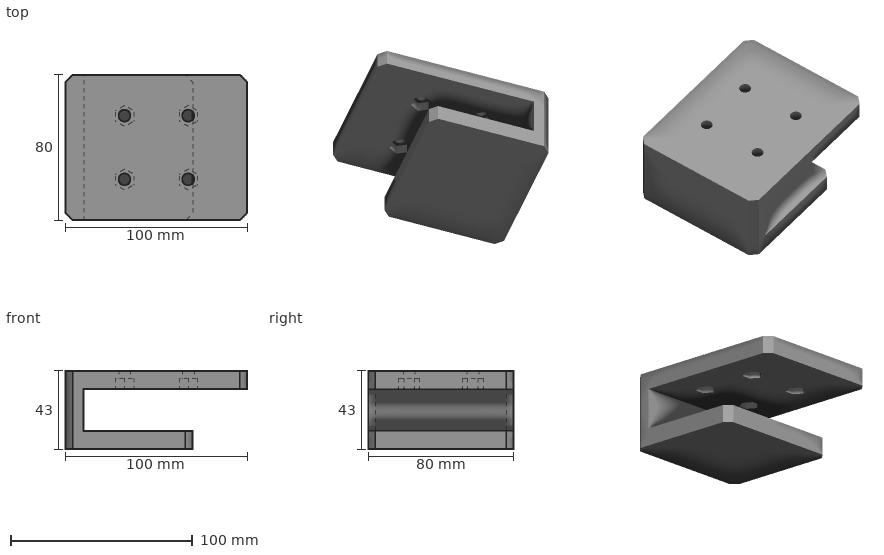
import cadquery as cq
import math

top_length = 100.0
bottom_length = 70.0
width = 80.0
height = 43.0
thickness = 10.0
corner_chamfer = 4.0
hole_diameter = 6.5
hole_spacing = 35.0
nut_across_flats = 10.0
nut_pocket_depth = 6.0

back_x = -top_length / 2
bottom_z = -height / 2
top_plate_z = height / 2 - thickness

hexagon_sides = 6
nut_across_corners = nut_across_flats / math.cos(math.pi / hexagon_sides)
nut_turn = 30.0


def plate(length, base_z):
    """Plate starting at the back face, with all four vertical edges chamfered."""
    return (
        cq.Workplane("XY", origin=(back_x + length / 2, 0, base_z))
        .box(length, width, thickness, centered=(True, True, False))
        .edges("|Z")
        .chamfer(corner_chamfer)
    )


def back_wall():
    """Full-height wall whose outer vertical edges carry the corner chamfers."""
    return (
        cq.Workplane("XY", origin=(back_x + thickness / 2, 0, bottom_z))
        .box(thickness, width, height, centered=(True, True, False))
        .edges("|Z and <X")
        .chamfer(corner_chamfer)
    )


def hole_cutter():
    """Screw hole through the top plate, with a hexagonal nut pocket from its underside."""
    hole = cq.Workplane("XY").circle(hole_diameter / 2).extrude(thickness)
    nut_pocket = (
        cq.Workplane("XY")
        .transformed(rotate=(0, 0, nut_turn))
        .polygon(hexagon_sides, nut_across_corners)
        .extrude(nut_pocket_depth)
    )
    return hole.union(nut_pocket)


result = back_wall().union(plate(top_length, top_plate_z)).union(plate(bottom_length, bottom_z)).clean()

for x_side in (-1, 1):
    for y_side in (-1, 1):
        hole_x = x_side * hole_spacing / 2
        hole_y = y_side * hole_spacing / 2
        result = result.cut(hole_cutter().translate((hole_x, hole_y, top_plate_z)))